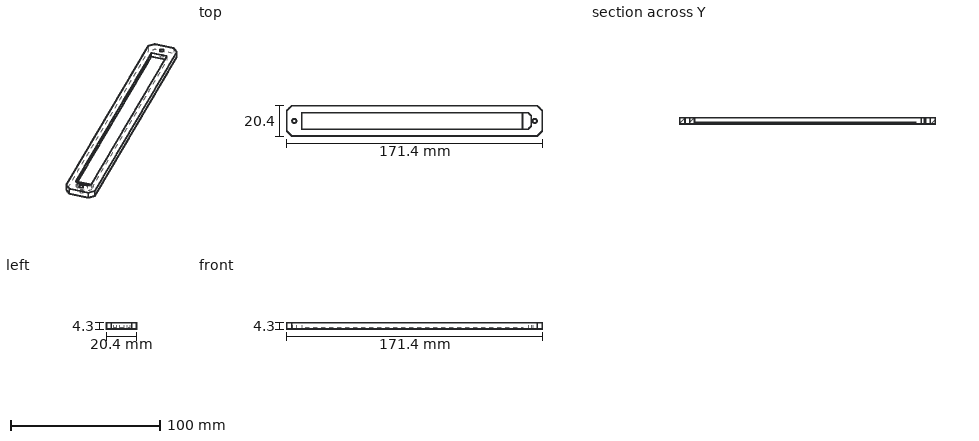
import cadquery as cq

length = 171.4
width = 20.4
thickness = 4.3
corner_chamfer = 3.5

hole_diameter = 2.7
hole_spacing = 161.1

recess_left = -75.5
recess_right = 78.2
recess_width = 11.0
recess_depth = 3.0
recess_chamfer = 2.0

floor_end = 72.5


def make_plate():
    plate = cq.Workplane("XY").box(length, width, thickness, centered=(True, True, False))
    return plate.edges("|Z").chamfer(corner_chamfer)


def make_recess():
    """Full-height cutter with its two right-hand corners cut off."""
    recess = cq.Workplane("XY").box(
        recess_right - recess_left, recess_width, thickness, centered=(False, True, False)
    )
    return recess.edges("|Z and >X").chamfer(recess_chamfer).translate((recess_left, 0, 0))


def make_floor():
    """Thin web left under the recess."""
    floor = cq.Workplane("XY").box(
        floor_end - recess_left, recess_width, thickness - recess_depth, centered=(False, True, False)
    )
    return floor.translate((recess_left, 0, 0))


def make_screw_holes():
    hole_centres = [(-hole_spacing / 2, 0), (hole_spacing / 2, 0)]
    return cq.Workplane("XY").pushPoints(hole_centres).circle(hole_diameter / 2).extrude(thickness)


recess_cutter = make_recess().cut(make_floor())
result = make_plate().cut(recess_cutter).cut(make_screw_holes())